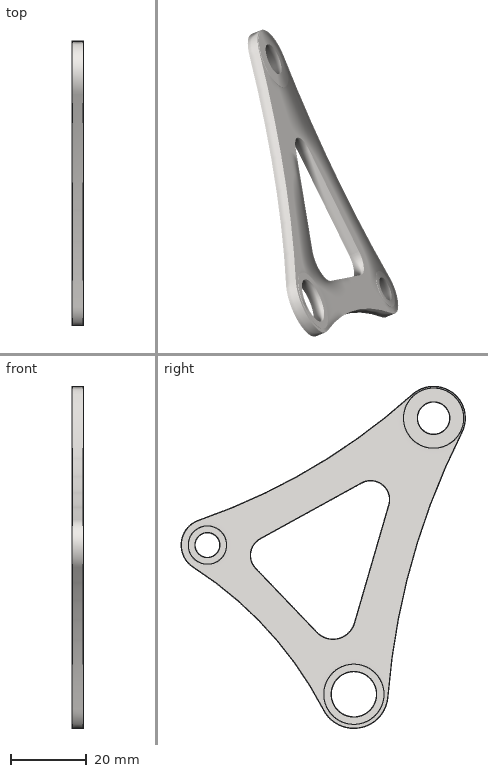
import cadquery as cq
import math

thickness = 3.2
pad_height = 0.1
plate_thickness = thickness - 2 * pad_height

lower_eye = {"center": (0, 0), "outer": 9.05, "pad": 8.0, "hole": 6.0}
upper_eye = {"center": (21.1, 73.0), "outer": 8.4, "pad": 8.0, "hole": 4.25}
side_eye = {"center": (-38.7, 39.45), "outer": 7.0, "pad": 5.1, "hole": 3.3}

eyes = [lower_eye, side_eye, upper_eye]

upper_edge_radius = 164.7
long_edge_radius = 187.3
short_edge_radius = 98.6
edge_radii = [short_edge_radius, upper_edge_radius, long_edge_radius]

window_corners = [
    ((-5.5, 20.45), 5.9),
    ((-22.35, 36.7), 5.0),
    ((4.4, 51.5), 5.0),
]


def point_toward(start, target, distance):
    """Point at the given distance from start, in the direction of target."""
    span = math.dist(start, target)
    return tuple(s + (t - s) * distance / span for s, t in zip(start, target))


def edge_arc(first, second, radius):
    """Ends and middle of the concave arc tangent to two eyes.

    The arc bulges from the left of the line first-to-second toward that line.
    """
    start, end = first["center"], second["center"]
    span = math.dist(start, end)
    to_first = radius + first["outer"]
    to_second = radius + second["outer"]
    along = (to_first**2 - to_second**2 + span**2) / (2 * span)
    across = math.sqrt(to_first**2 - along**2)
    unit_y = (end[0] - start[0]) / span
    unit_z = (end[1] - start[1]) / span
    center = (
        start[0] + along * unit_y - across * unit_z,
        start[1] + along * unit_z + across * unit_y,
    )
    arc_start = point_toward(center, start, radius)
    arc_end = point_toward(center, end, radius)
    chord_middle = tuple((a + b) / 2 for a, b in zip(arc_start, arc_end))
    return arc_start, point_toward(center, chord_middle, radius), arc_end


def outer_tangent(first, second):
    """Ends of the line tangent to two circles, on the left of first-to-second."""
    (start, start_radius), (end, end_radius) = first, second
    heading = math.atan2(end[1] - start[1], end[0] - start[0])
    normal = heading + math.acos((start_radius - end_radius) / math.dist(start, end))
    direction = (math.cos(normal), math.sin(normal))
    return (
        tuple(c + start_radius * d for c, d in zip(start, direction)),
        tuple(c + end_radius * d for c, d in zip(end, direction)),
    )


def plate():
    """Solid plate: concave edges joined by an arc around each eye."""
    edges = [edge_arc(eyes[i], eyes[(i + 1) % 3], edge_radii[i]) for i in range(3)]
    middle = tuple(sum(eye["center"][axis] for eye in eyes) / 3 for axis in range(2))
    outline = cq.Workplane("YZ", origin=(pad_height, 0, 0)).moveTo(*edges[0][0])
    for i in range(3):
        next_eye = eyes[(i + 1) % 3]
        tip = point_toward(next_eye["center"], middle, -next_eye["outer"])
        outline = outline.threePointArc(edges[i][1], edges[i][2])
        outline = outline.threePointArc(tip, edges[(i + 1) % 3][0])
    return outline.close().extrude(plate_thickness)


def window():
    """Cutter for the rounded triangular window."""
    sides = [outer_tangent(window_corners[i], window_corners[(i + 1) % 3]) for i in range(3)]
    middle = tuple(sum(corner[0][axis] for corner in window_corners) / 3 for axis in range(2))
    outline = cq.Workplane("YZ", origin=(pad_height, 0, 0)).moveTo(*sides[0][0])
    for i in range(3):
        center, radius = window_corners[(i + 1) % 3]
        tip = point_toward(center, middle, -radius)
        outline = outline.lineTo(*sides[i][1])
        outline = outline.threePointArc(tip, sides[(i + 1) % 3][0])
    return outline.close().extrude(plate_thickness)


def eye_prism(eye, radius_name):
    """Cylinder on an eye's axis, through the full thickness including both pads."""
    axis_plane = cq.Workplane("YZ").center(*eye["center"])
    return axis_plane.circle(eye[radius_name]).extrude(thickness)


result = plate().cut(window())
for eye in eyes:
    result = result.union(eye_prism(eye, "pad"))
    result = result.cut(eye_prism(eye, "hole"))